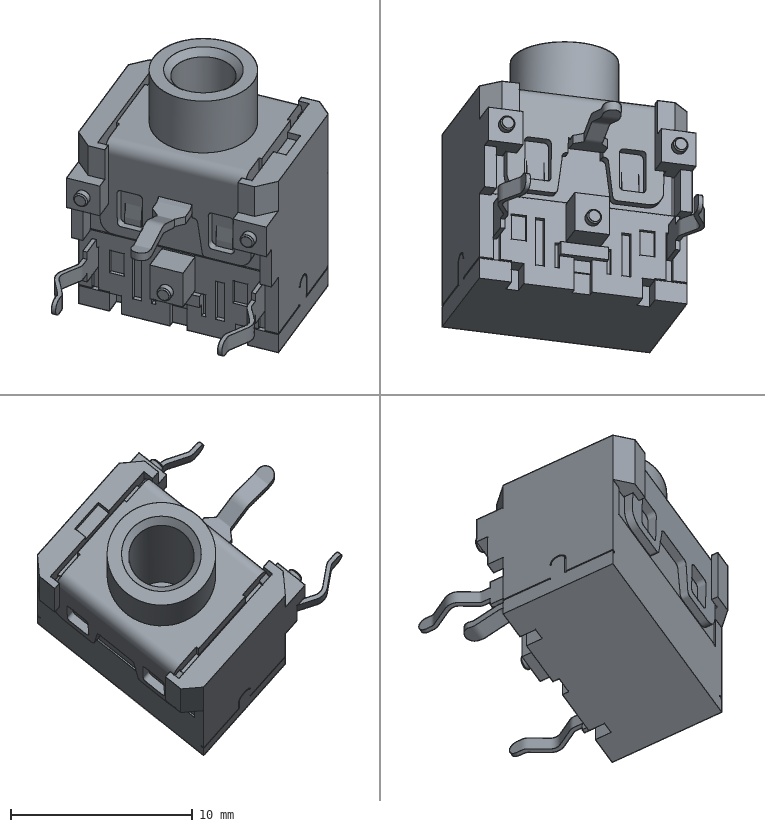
import cadquery as cq
import math

housing_half_width = 6.0
base_half_depth = 3.5
panel_half_depth = 3.4
panel_bottom = 5.2
core_top = 10.6
cheek_top = 11.6
cheek_bottom = 7.6
cheek_lip_x = 4.0
cheek_inner_x = 4.63
cheek_front = 4.5
cheek_rear = 4.4
cheek_front_chamfer = 1.0
cheek_rear_chamfer = 0.9
side_wall_bottom = 5.1
side_wall_inner_x = 5.32
panel_seam_x = 5.17
panel_seam_depth = 0.15
key_notch_x = 0.77
key_notch_y = 2.0
key_notch_z = 0.4

standoff_front = 5.2
standoff_width = 2.0
standoff_height = 2.0
centre_block_bottom = 2.82
peg_radius = 0.42
peg_length = 0.45
peg_chamfer = 0.08
side_peg_x = 5.0
side_peg_z = 8.62
centre_peg_z = 3.63

cover_top = 11.7
cover_half_depth = 4.0
cover_bend_radius = 0.7
cover_half_width = 4.2
cover_middle_half_width = 4.37
cover_middle_depth = 4.0
flap_half_width = 4.53
flap_shoulder_z = 10.95
flap_foot_half_depth = 3.88
flap_bottom = 5.53
flap_corner_radius = 0.85
flap_gap_top = 8.03
flap_gap_bottom_half = 1.62
flap_gap_top_half = 1.3
flap_gap_radius = 0.25
terminal_opening_top = 8.6
window_x = 2.74
window_width = 1.53
window_bottom = 6.2
window_top = 8.68
window_radius = 0.25
latch_width = 1.0
latch_knee_z = 6.6
latch_top = 7.48

bushing_radius = 3.0
bushing_top = 15.2
bore_radius = 1.8
bore_depth = 10.0
bore_chamfer = 0.4

base_top = 1.22
seam_width = 0.07
seam_depth = 0.2
latch_tab_radius = 0.5
latch_tab_arc_z = 2.47
corner_notch_inner = 3.43
corner_notch_outer = 4.15
corner_notch_depth = 1.0
centre_slot_width = 1.04
centre_slot_depth = 0.4
centre_slot_upper_depth = 0.3
tongue_half_width = 1.38
tongue_bottom = 1.95
tongue_top = 2.7
tongue_height = 0.28
relief_outer_x = 1.62
pocket_depth = 0.2
slot_depth = 0.27
rib_slot_inner = 2.23
rib_slot_outer = 2.75
left_rib_slot_top = 4.07
right_rib_slot_top = 3.8
pocket_inner = 3.27
pocket_bottom = 2.6
pocket_top = 4.12
terminal_groove_inner = 4.79
terminal_groove_outer = 5.19

terminal_thickness = 0.26
terminal_x = 5.06
terminal_bend_x = 5.92
terminal_tip_x = 4.99
terminal_tip = 9.4
blade_front = 4.8
blade_bottom = 2.6
blade_top = 4.62
leg_height = 0.98
leg_z = 3.64
leg_tip_radius = 0.485
leg_bend_depths = (5.45, 6.88, 8.45)
leg_bend_radii = (0.43, 0.75, 0.55)

centre_thickness = 0.5
centre_shoulder_half = 1.0
centre_leg_half = 0.52
centre_shoulder_front = 4.85
centre_neck = 5.3
centre_profile = (
    (-3.2, 9.26), (-4.1, 8.47), (-5.4, 8.43), (-6.8, 9.01), (-8.55, 8.53), (-9.6, 8.74),
)
centre_bend_radii = (0.3, 0.4, 0.65, 0.4)

overlap = 0.3


def block(x0, x1, y0, y1, z0, z1):
    """Box between opposite corners."""
    return cq.Workplane("XY").box(x1 - x0, y1 - y0, z1 - z0, centered=False).translate((x0, y0, z0))


def both_sides(body):
    """The body together with its mirror image in X."""
    return body.union(body.mirror("YZ"))


def front_cut(x0, x1, z0, z1, depth):
    """Cutter that sinks a rectangle into the lower front face."""
    return block(x0, x1, -base_half_depth - overlap, -base_half_depth + depth, z0, z1)


def bent_strip(plane, points, radii, thickness, width):
    """Strip with rounded bends following a polyline, centred on the plane."""
    vectors = [cq.Vector(a, b) for a, b in points]
    path = cq.Workplane(plane).moveTo(*points[0])
    for before, corner, after, radius in zip(vectors, vectors[1:], vectors[2:], radii):
        back = (before - corner).normalized()
        ahead = (after - corner).normalized()
        half_angle = back.getAngle(ahead) / 2
        reach = radius / math.tan(half_angle)
        start = corner + back * reach
        end = corner + ahead * reach
        inward = (back + ahead).normalized()
        middle = corner + inward * (radius / math.sin(half_angle) - radius)
        path = path.lineTo(start.x, start.y)
        path = path.threePointArc((middle.x, middle.y), (end.x, end.y))
    path = path.lineTo(*points[-1])
    base = cq.Plane.named(plane)
    direction = base.toWorldCoords(points[1]) - base.toWorldCoords(points[0])
    section = cq.Plane(origin=base.toWorldCoords(points[0]), xDir=base.zDir, normal=direction)
    return cq.Workplane(section).rect(width, thickness).sweep(path)


def make_cheek():
    """Left cheek with its lips, chamfers, front side wall and stand-off block."""
    w = housing_half_width
    outline = [
        (-w, -cheek_front + cheek_front_chamfer),
        (-w + cheek_front_chamfer, -cheek_front),
        (-cheek_lip_x, -cheek_front),
        (-cheek_lip_x, cheek_rear),
        (-w + cheek_rear_chamfer, cheek_rear),
        (-w, cheek_rear - cheek_rear_chamfer),
    ]
    height = cheek_top - cheek_bottom
    cheek = cq.Workplane("XY").workplane(offset=cheek_bottom).polyline(outline).close().extrude(height)
    standoff_top = cheek_bottom + standoff_height
    standoff = block(-w, -w + standoff_width, -standoff_front, 0, cheek_bottom, standoff_top)
    cheek = cheek.union(standoff)
    well = block(-cheek_inner_x, 0, -cover_half_depth, cover_half_depth, cheek_bottom, cheek_top)
    side_wall = block(-w, -side_wall_inner_x, -cheek_front, 0, side_wall_bottom, cheek_bottom)
    rear_wall = block(-w, -side_wall_inner_x, 0, base_half_depth, side_wall_bottom, cheek_bottom)
    return cheek.cut(well).union(side_wall).union(rear_wall)


def make_housing():
    """Box, core, cheeks and centre block."""
    w = housing_half_width
    lower = block(-w, w, -base_half_depth, base_half_depth, 0, panel_bottom)
    core = block(-w, w, -panel_half_depth, panel_half_depth, 0, core_top)
    housing = lower.union(core).union(both_sides(make_cheek()))
    half = standoff_width / 2
    centre = block(-half, half, -standoff_front, 0, centre_block_bottom, side_wall_bottom)
    housing = housing.union(centre)
    notch = block(
        cheek_inner_x, cheek_inner_x + key_notch_x,
        -key_notch_y / 2, key_notch_y / 2, cheek_top - key_notch_z, cheek_top,
    )
    seam_front = -panel_half_depth + panel_seam_depth
    seam = block(panel_seam_x, side_wall_inner_x, -base_half_depth, seam_front, panel_bottom, cheek_bottom)
    return housing.cut(notch).cut(seam)


def make_peg(x, z):
    """Round chamfered peg on the front of a stand-off."""
    peg = cq.Workplane("XZ", origin=(x, -standoff_front + overlap, z)).circle(peg_radius)
    return peg.extrude(peg_length + overlap).faces("<Y").chamfer(peg_chamfer)


def make_flap_shape():
    """Front outline of the cover and flaps, extruded through the whole depth."""
    shoulder_step = flap_half_width - cover_half_width
    outline = [
        (-flap_half_width, flap_bottom),
        (flap_half_width, flap_bottom),
        (flap_half_width, flap_shoulder_z - shoulder_step),
        (cover_half_width, flap_shoulder_z),
        (cover_half_width, cover_top),
        (-cover_half_width, cover_top),
        (-cover_half_width, flap_shoulder_z),
        (-flap_half_width, flap_shoulder_z - shoulder_step),
    ]
    shape = cq.Workplane("XZ").polyline(outline).close().extrude(cover_half_depth, both=True)
    shape = shape.edges("|Y and <Z").fillet(flap_corner_radius)
    gap_outline = [
        (-flap_gap_bottom_half, flap_bottom),
        (-flap_gap_top_half, flap_gap_top),
        (flap_gap_top_half, flap_gap_top),
        (flap_gap_bottom_half, flap_bottom),
    ]
    gap = cq.Workplane("XZ").polyline(gap_outline).close().extrude(cover_half_depth, both=True)
    gap = gap.edges("|Y and >Z").fillet(flap_gap_radius)
    foot_reach = flap_gap_bottom_half + overlap
    foot_corners = cq.selectors.BoxSelector(
        (-foot_reach, -cover_half_depth, flap_bottom - overlap),
        (foot_reach, cover_half_depth, flap_bottom + overlap),
    )
    return shape.cut(gap).edges("|Y").edges(foot_corners).fillet(flap_gap_radius)


def make_flap_taper():
    """Side outline of the cover: the flaps lean slightly inward towards their feet."""
    bend_z = cover_top - cover_bend_radius
    outline = [
        (-flap_foot_half_depth, flap_bottom),
        (-cover_half_depth, bend_z),
        (-cover_half_depth, cover_top),
        (cover_half_depth, cover_top),
        (cover_half_depth, bend_z),
        (flap_foot_half_depth, flap_bottom),
    ]
    taper = cq.Workplane("YZ").polyline(outline).close().extrude(flap_half_width, both=True)
    return taper.edges("|X and >Z").fillet(cover_bend_radius)


def make_windows():
    """Cutters for the two rounded latch windows in each flap."""
    height = window_top - window_bottom
    windows = cq.Workplane("XZ", origin=(0, 0, window_bottom + height / 2))
    windows = windows.pushPoints([(-window_x, 0), (window_x, 0)]).rect(window_width, height)
    return windows.extrude(cover_half_depth, both=True).edges("|Y").fillet(window_radius)


def make_cover():
    """Top plate with rolled edges and a flap hanging down at the front and rear."""
    well_top = core_top - overlap
    depth = panel_half_depth
    opening = block(
        -centre_shoulder_half, centre_shoulder_half,
        -cover_half_depth, 0, flap_gap_top - flap_gap_radius, terminal_opening_top,
    )
    well = block(-flap_half_width, flap_half_width, -depth, depth, flap_bottom, well_top)
    side_relief = block(cover_half_width, flap_half_width, -depth, depth, flap_bottom, cover_top)
    half_middle = cover_middle_depth / 2
    middle = block(
        -cover_middle_half_width, cover_middle_half_width,
        -half_middle, half_middle, well_top, cover_top,
    )
    cover = make_flap_taper().intersect(make_flap_shape()).cut(make_windows()).cut(opening)
    return cover.cut(well).cut(both_sides(side_relief)).union(middle)


def make_latch():
    """Wedge latch inside the left front window."""
    outline = [
        (-panel_half_depth, latch_top),
        (-base_half_depth, latch_knee_z),
        (-base_half_depth, window_bottom - overlap),
        (-panel_half_depth + overlap, window_bottom - overlap),
        (-panel_half_depth + overlap, latch_top),
    ]
    left = -window_x - latch_width / 2
    return cq.Workplane("YZ", origin=(left, 0, 0)).polyline(outline).close().extrude(latch_width)


def make_bushing():
    """Round collar standing on the core and passing through the cover."""
    height = bushing_top - core_top
    return cq.Workplane("XY").workplane(offset=core_top).circle(bushing_radius).extrude(height)


def make_bore():
    """Plug hole with a conical lead-in."""
    mouth_radius = bore_radius + bore_chamfer
    floor = bushing_top - bore_depth
    outline = [
        (0, floor),
        (bore_radius, floor),
        (bore_radius, bushing_top - bore_chamfer),
        (mouth_radius, bushing_top),
        (0, bushing_top),
    ]
    return cq.Workplane("XZ").polyline(outline).close().revolve(360, (0, 0, 0), (0, 1, 0))


def make_base_seam():
    """Groove between base and left wall: two runs and the hooked edge of the snap tab."""
    outer = -housing_half_width
    inner = outer + seam_depth
    low = base_top
    high = base_top + seam_width
    r = latch_tab_radius
    rear_run = block(outer, inner, r, base_half_depth, low, high)
    front_run = block(outer, inner, -base_half_depth, -r, low, high)
    upright = block(outer, inner, r - seam_width, r, low, latch_tab_arc_z)
    ring = cq.Workplane("YZ", origin=(outer, 0, latch_tab_arc_z)).circle(r).circle(r - seam_width)
    upper_half = block(outer, inner, -r, r, latch_tab_arc_z, latch_tab_arc_z + r)
    hook = ring.extrude(seam_depth).intersect(upper_half)
    corner = front_cut(outer, -corner_notch_outer, low, high, seam_depth)
    return rear_run.union(front_run).union(upright).union(hook).union(corner)


def make_base_cuts():
    """All notches, slots and pockets of the lower front face."""
    half_slot = centre_slot_width / 2
    side_cuts = [
        front_cut(corner_notch_inner, corner_notch_outer, 0, base_top, corner_notch_depth),
        front_cut(tongue_half_width, relief_outer_x, base_top, tongue_top, slot_depth),
        front_cut(pocket_inner, corner_notch_outer, pocket_bottom, pocket_top, pocket_depth),
        front_cut(terminal_groove_inner, terminal_groove_outer, base_top, pocket_top, slot_depth),
    ]
    cuts = both_sides(make_base_seam())
    for cut in side_cuts:
        cuts = cuts.union(both_sides(cut))
    single_cuts = [
        front_cut(-rib_slot_outer, -rib_slot_inner, base_top, left_rib_slot_top, slot_depth),
        front_cut(rib_slot_inner, rib_slot_outer, base_top, right_rib_slot_top, slot_depth),
        front_cut(-half_slot, half_slot, 0, base_top, centre_slot_depth),
        front_cut(-half_slot, half_slot, base_top, tongue_bottom, centre_slot_upper_depth),
    ]
    for cut in single_cuts:
        cuts = cuts.union(cut)
    return cuts


def make_side_terminal():
    """Left terminal: flat blade, then a narrow bent leg with a round tip."""
    start = -base_half_depth + 2 * overlap
    first, second, third = leg_bend_depths
    points = [
        (-terminal_x, start),
        (-terminal_x, -first),
        (-terminal_bend_x, -second),
        (-terminal_tip_x, -third),
        (-terminal_tip_x, -terminal_tip),
    ]
    strip = bent_strip("XY", points, leg_bend_radii, terminal_thickness, 2 * housing_half_width)
    half = leg_height / 2
    width = housing_half_width
    blade = block(-width, 0, -blade_front, start, blade_bottom, blade_top)
    leg = block(-width, 0, -terminal_tip, start, leg_z - half, leg_z + half)
    leg = leg.edges("|X and <Y").fillet(leg_tip_radius)
    return strip.intersect(blade.union(leg))


def make_centre_terminal():
    """Wide shoulder narrowing to a cranked leg with a round tip."""
    strip = bent_strip("YZ", centre_profile, centre_bend_radii, centre_thickness, 2 * housing_half_width)
    start = centre_profile[0][0]
    tip_centre = -terminal_tip + centre_leg_half
    plan = (
        cq.Workplane("XY")
        .moveTo(-centre_shoulder_half, start)
        .lineTo(-centre_shoulder_half, -centre_shoulder_front)
        .lineTo(-centre_leg_half, -centre_neck)
        .lineTo(-centre_leg_half, tip_centre)
        .threePointArc((0, -terminal_tip), (centre_leg_half, tip_centre))
        .lineTo(centre_leg_half, -centre_neck)
        .lineTo(centre_shoulder_half, -centre_shoulder_front)
        .lineTo(centre_shoulder_half, start)
        .close()
        .extrude(bushing_top)
    )
    return strip.intersect(plan)


def make_tongue():
    """Raised plate below the centre block."""
    front = -base_half_depth - tongue_height
    back = -base_half_depth + overlap
    return block(-tongue_half_width, tongue_half_width, front, back, tongue_bottom, tongue_top)


housing = make_housing().cut(make_base_cuts()).union(make_tongue())
housing = housing.union(make_cover()).union(both_sides(make_latch()))
housing = housing.union(make_bushing()).cut(make_bore())
housing = housing.union(both_sides(make_peg(-side_peg_x, side_peg_z))).union(make_peg(0, centre_peg_z))
result = housing.union(both_sides(make_side_terminal())).union(make_centre_terminal())